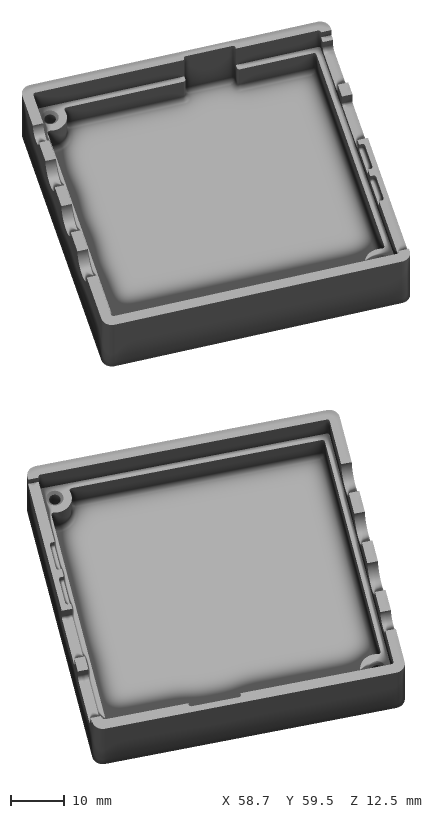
import cadquery as cq

LENGTH_X = 58.7
LENGTH_Y = 59.5
HEIGHT = 12.5
OUTER_CORNER_RADIUS = 2.0
HALF_Y = LENGTH_Y / 2

RIM_WALL = 2.0
LEDGE_WIDTH = 1.2
LEDGE_Z = 7.55
FLOOR_THICKNESS = 2.0
FLOOR_FILLET = 1.0
EDGE_FILLET = 0.5
POCKET_WALL = RIM_WALL + LEDGE_WIDTH

BAY_WALL = 1.25
BAY_WIDTH = 9.95
BAY_CENTER_Y = 6.5

BOSS_INSET = 4.65
BOSS_RADIUS = 3.15
HOLE_RADIUS = 1.1
COUNTERSINK = 0.55

CABLE_EXITS = [(-17.9, 2.1), (-8.1, 3.2), (3.0, 3.2), (14.05, 3.2)]

LOW_WALL_Z = HEIGHT - 1.5
LOW_WALL_HALF_LENGTH = 26.8
GAPS = [(-25.6, -15.2, FLOOR_FILLET), (-12.25, -1.6, EDGE_FILLET)]
GAP_Z = 8.5

RECESS_CENTERS_X = (2.55, 10.3)
RECESS_WIDTH = 6.05
RECESS_DEPTH = 1.0
RECESS_Z = HEIGHT - 3.0


def box(x_min, x_max, y_min, y_max, z_min, z_max):
    """Axis-aligned block between the given limits."""
    return (
        cq.Workplane("XY")
        .box(x_max - x_min, y_max - y_min, z_max - z_min, centered=False)
        .translate((x_min, y_min, z_min))
    )


def inset_block(wall, bottom, top):
    """Block that leaves the given wall thickness on all four sides of the tray."""
    half_x = LENGTH_X / 2 - wall
    half_y = HALF_Y - wall
    return box(-half_x, half_x, -half_y, half_y, bottom, top)


def boss_centers():
    """The -X -Y and +X +Y corner positions."""
    x = LENGTH_X / 2 - BOSS_INSET
    y = HALF_Y - BOSS_INSET
    return [(-x, -y), (x, y)]


def bay(top):
    """Recess volume of the -X bay from the floor up to the given height."""
    y_min = BAY_CENTER_Y - BAY_WIDTH / 2
    y_max = BAY_CENTER_Y + BAY_WIDTH / 2
    return box(BAY_WALL - LENGTH_X / 2, 0, y_min, y_max, FLOOR_THICKNESS, top)


def floor_pocket():
    """Lower cavity, going round the bosses and into the bay, with a filleted floor."""
    pocket = inset_block(POCKET_WALL, FLOOR_THICKNESS, LEDGE_Z)
    for x, y in boss_centers():
        boss = cq.Workplane("XY").center(x, y).circle(BOSS_RADIUS).extrude(HEIGHT)
        pocket = pocket.cut(boss)
    pocket = pocket.union(bay(LEDGE_Z))
    pocket = pocket.edges("|Z").fillet(EDGE_FILLET)
    return pocket.faces("<Z").edges().fillet(FLOOR_FILLET)


def upper_recess():
    """Upper cavity above the ledge, including the top part of the bay."""
    recess = inset_block(RIM_WALL, LEDGE_Z, HEIGHT)
    recess = recess.edges("|Z").fillet(EDGE_FILLET)
    bay_top = bay(HEIGHT).edges("|Z and <X").fillet(EDGE_FILLET)
    return recess.union(bay_top.intersect(inset_block(0, LEDGE_Z, HEIGHT)))


def wall_lowering():
    """Cutter that takes the top off most of the +Y wall."""
    half = LOW_WALL_HALF_LENGTH
    return box(-half, half, HALF_Y - RIM_WALL, HALF_Y, LOW_WALL_Z, HEIGHT)


def wall_gap(start_x, end_x, corner_radius):
    """Cutter through the lowered +Y wall, open upwards, with rounded bottom corners."""
    gap = box(start_x, end_x, HALF_Y - RIM_WALL, HALF_Y, GAP_Z, LOW_WALL_Z)
    return gap.faces("<Z").edges("|Y").fillet(corner_radius)


def inner_recess(center_x):
    """Cutter for one blind recess, rounded along its bottom and back edges."""
    half = RECESS_WIDTH / 2
    y_min = HALF_Y - RIM_WALL
    cutter = box(center_x - half, center_x + half, y_min, y_min + RECESS_DEPTH, RECESS_Z, HEIGHT)
    return cutter.edges("(|Z and >Y) or (<Z and (not <Y))").fillet(EDGE_FILLET)


def cable_exit(center_x, radius):
    """Half-round cutter through the -Y wall, centred on the rim."""
    return (
        cq.Workplane("XZ", origin=(center_x, RIM_WALL - HALF_Y, HEIGHT))
        .circle(radius)
        .extrude(RIM_WALL)
    )


def screw_hole(x, y):
    """Through hole with a countersink opening at the ledge."""
    hole = cq.Workplane("XY").center(x, y).circle(HOLE_RADIUS).extrude(LEDGE_Z)
    sink = cq.Solid.makeCone(
        HOLE_RADIUS,
        HOLE_RADIUS + COUNTERSINK,
        COUNTERSINK,
        pnt=cq.Vector(x, y, LEDGE_Z - COUNTERSINK),
    )
    return hole.union(cq.Workplane(sink))


tray = inset_block(0, 0, HEIGHT).edges("|Z").fillet(OUTER_CORNER_RADIUS)
tray = tray.cut(floor_pocket()).cut(upper_recess())

for hole_x, hole_y in boss_centers():
    tray = tray.cut(screw_hole(hole_x, hole_y))

for exit_x, exit_radius in CABLE_EXITS:
    tray = tray.cut(cable_exit(exit_x, exit_radius))

tray = tray.cut(wall_lowering())
for gap_start, gap_end, gap_radius in GAPS:
    tray = tray.cut(wall_gap(gap_start, gap_end, gap_radius))

for recess_x in RECESS_CENTERS_X:
    tray = tray.cut(inner_recess(recess_x))

result = tray